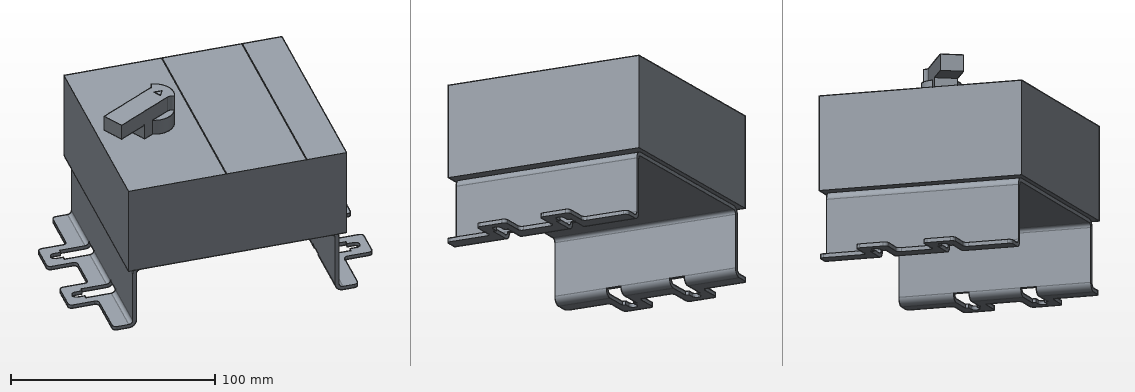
import cadquery as cq
import math

FOOT_SPAN = 156.0
TOTAL_HEIGHT = 99.5

HOUSING_WIDTH = 105.5
HOUSING_DEPTH = 112.0
HOUSING_BOTTOM = 35.5
HOUSING_TOP = 83.0
GROOVE_WIDTH = 0.3
GROOVE_DEPTH = 0.1
GROOVE_POSITIONS = (35.5, -5.7)

KNOB_RADIUS = 9.75
KNOB_Y = -26.0
HANDLE_ANGLE = -60.0
LEVER_WIDTH = 11.6
LEVER_REACH = 30.2
STEM_REACH = 13.5
HANDLE_HEIGHT = TOTAL_HEIGHT - HOUSING_TOP
LEVER_THICKNESS = HANDLE_HEIGHT / 2
FINGER_CUT_START = -6.0
FINGER_CUT_RADIUS = 3.0
POINTER_BASE = (-2.7, 2.65)
POINTER_SIDE = 4.1
POINTER_DEPTH = 0.2

BRACKET_WIDTH = 100.0
SHEET = 2.0
BEND_INNER_RADIUS = 2.0
BEND_OUTER_RADIUS = BEND_INNER_RADIUS + SHEET
WALL_OUTER_Y = 53.0
WALL_INNER_Y = WALL_OUTER_Y - SHEET
FLANGE_EDGE_Y = 63.0
TAB_EDGE_Y = FOOT_SPAN / 2
TAB_WIDTH = 16.25
TAB_PITCH = 35.0
FOOT_CORNER_RADIUS = 2.0

SLOT_WIDE_WIDTH = 8.0
SLOT_WIDE_END_Y = TAB_EDGE_Y - 10.0
SLOT_NARROW_WIDTH = 4.4
SLOT_TIP_Y = TAB_EDGE_Y - 4.2


def block(x_min, x_max, y_min, y_max, z_min, z_max):
    """Axis-aligned box given by its limits."""
    size = (x_max - x_min, y_max - y_min, z_max - z_min)
    return cq.Workplane("XY").box(*size, centered=False).translate((x_min, y_min, z_min))


def make_housing():
    """Plain box with two fine grooves across its top face."""
    half_width = HOUSING_WIDTH / 2
    half_depth = HOUSING_DEPTH / 2
    housing = block(-half_width, half_width, -half_depth, half_depth, HOUSING_BOTTOM, HOUSING_TOP)
    for groove_y in GROOVE_POSITIONS:
        y_min = groove_y - GROOVE_WIDTH / 2
        y_max = groove_y + GROOVE_WIDTH / 2
        groove = block(-half_width, half_width, y_min, y_max, HOUSING_TOP - GROOVE_DEPTH, HOUSING_TOP)
        housing = housing.cut(groove)
    return housing


def make_finger_cuts():
    """Clearances that narrow the top of the knob to the lever width, with a rounded inner end."""
    half_lever = LEVER_WIDTH / 2
    y_max = half_lever + 2 * KNOB_RADIUS
    cut = block(FINGER_CUT_START, KNOB_RADIUS, half_lever, y_max, LEVER_THICKNESS, HANDLE_HEIGHT)
    cut = cut.edges("|Z and <X and <Y").fillet(FINGER_CUT_RADIUS)
    return cut.union(cut.mirror("XZ"))


def make_handle():
    """Round knob with a lever over a short stem, and a triangular pointer sunk in the top."""
    half_lever = LEVER_WIDTH / 2
    knob = cq.Workplane("XY").circle(KNOB_RADIUS).extrude(HANDLE_HEIGHT).cut(make_finger_cuts())
    stem = block(0, STEM_REACH, -half_lever, half_lever, 0, HANDLE_HEIGHT)
    lever = block(0, LEVER_REACH, -half_lever, half_lever, LEVER_THICKNESS, HANDLE_HEIGHT)
    handle = knob.union(stem).union(lever).rotate((0, 0, 0), (0, 0, 1), HANDLE_ANGLE)

    base_x, base_y = POINTER_BASE
    tip_x = base_x + POINTER_SIDE * math.sin(math.radians(60))
    pointer = (
        cq.Workplane("XY", origin=(0, 0, HANDLE_HEIGHT - POINTER_DEPTH))
        .moveTo(base_x, base_y - POINTER_SIDE / 2)
        .lineTo(tip_x, base_y)
        .lineTo(base_x, base_y + POINTER_SIDE / 2)
        .close()
        .extrude(POINTER_DEPTH)
    )
    return handle.cut(pointer).translate((0, KNOB_Y, HOUSING_TOP))


def make_bracket_sheet():
    """Hat section swept along X: top plate, two walls and two feet, all bends rounded."""
    top = HOUSING_BOTTOM
    upper_bend_y = WALL_OUTER_Y - BEND_OUTER_RADIUS
    upper_bend_z = top - BEND_OUTER_RADIUS
    lower_bend_y = WALL_INNER_Y + BEND_OUTER_RADIUS
    lower_bend_z = BEND_OUTER_RADIUS
    diagonal = math.sqrt(0.5)

    def upper_mid(radius):
        return upper_bend_y + radius * diagonal, upper_bend_z + radius * diagonal

    def lower_mid(radius):
        return lower_bend_y - radius * diagonal, lower_bend_z - radius * diagonal

    half_hat = (
        cq.Workplane("YZ", origin=(-BRACKET_WIDTH / 2, 0, 0))
        .moveTo(0, top)
        .lineTo(upper_bend_y, top)
        .threePointArc(upper_mid(BEND_OUTER_RADIUS), (WALL_OUTER_Y, upper_bend_z))
        .lineTo(WALL_OUTER_Y, lower_bend_z)
        .threePointArc(lower_mid(BEND_INNER_RADIUS), (lower_bend_y, SHEET))
        .lineTo(TAB_EDGE_Y, SHEET)
        .lineTo(TAB_EDGE_Y, 0)
        .lineTo(lower_bend_y, 0)
        .threePointArc(lower_mid(BEND_OUTER_RADIUS), (WALL_INNER_Y, lower_bend_z))
        .lineTo(WALL_INNER_Y, upper_bend_z)
        .threePointArc(upper_mid(BEND_INNER_RADIUS), (upper_bend_y, top - SHEET))
        .lineTo(0, top - SHEET)
        .close()
        .extrude(BRACKET_WIDTH)
    )
    return half_hat.union(half_hat.mirror("XZ"))


def make_foot_notches():
    """Material cut from the +Y foot to leave the tabs standing out of the flange."""
    half_width = BRACKET_WIDTH / 2
    tab_inner_x = (TAB_PITCH - TAB_WIDTH) / 2
    tab_outer_x = (TAB_PITCH + TAB_WIDTH) / 2
    notches = cq.Workplane("XY")
    for x_min, x_max in (
        (-half_width, -tab_outer_x),
        (-tab_inner_x, tab_inner_x),
        (tab_outer_x, half_width),
    ):
        notches = notches.union(block(x_min, x_max, FLANGE_EDGE_Y, TAB_EDGE_Y, 0, SHEET))
    return notches


def make_keyhole():
    """Slot at X = 0 in the +Y foot: wide through the bend, then narrow with a round tip."""
    narrow_radius = SLOT_NARROW_WIDTH / 2
    tip_centre_y = SLOT_TIP_Y - narrow_radius
    wide = block(
        -SLOT_WIDE_WIDTH / 2, SLOT_WIDE_WIDTH / 2,
        WALL_INNER_Y, SLOT_WIDE_END_Y,
        0, BEND_OUTER_RADIUS,
    )
    narrow = block(-narrow_radius, narrow_radius, SLOT_WIDE_END_Y, tip_centre_y, 0, SHEET)
    tip = cq.Workplane("XY").center(0, tip_centre_y).circle(narrow_radius).extrude(SHEET)
    return wide.union(narrow).union(tip)


def make_bracket():
    """Bent sheet with shaped, slotted feet at both ends."""
    notches = make_foot_notches()
    bracket = make_bracket_sheet().cut(notches).cut(notches.mirror("XZ"))
    foot_corners = bracket.edges("|Z").edges("<Z")
    bracket = foot_corners.fillet(FOOT_CORNER_RADIUS)
    for slot_x in (-TAB_PITCH / 2, TAB_PITCH / 2):
        keyhole = make_keyhole().translate((slot_x, 0, 0))
        bracket = bracket.cut(keyhole).cut(keyhole.mirror("XZ"))
    return bracket


switch = make_housing().union(make_handle())
bracket = make_bracket()

result = cq.Compound.makeCompound([switch.val(), bracket.val()])